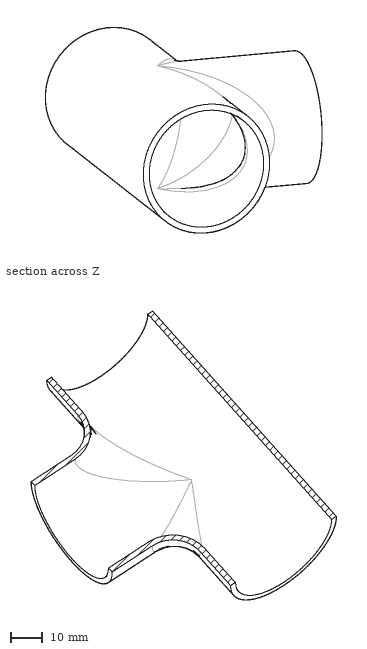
import cadquery as cq
import math

run_length = 96.0
branch_length = 48.0
outer_diameter = 42.4
bore_diameter = 38.4
outer_crotch_radius = 10.8

wall_thickness = (outer_diameter - bore_diameter) / 2
bore_crotch_radius = outer_crotch_radius + wall_thickness

section_count = 17
last_section_angle = math.radians(88)
join_tolerance = 0.001


def crotch_section(pipe_radius, crotch_radius, angle):
    """Horizontal slice of the blend wedge at an angle around the pipe surface.

    Every slice is the mid-height slice shrunk towards the Z axis, so the
    blend fades to nothing at the top and bottom of the pipes.
    """
    shrink = math.cos(angle)
    side = pipe_radius * shrink
    arc_radius = crotch_radius * shrink
    tangent = side + arc_radius
    arc_middle = tangent - arc_radius * math.sqrt(0.5)
    section = (
        cq.Workplane("XY", origin=(0, 0, pipe_radius * math.sin(angle)))
        .lineTo(side, tangent)
        .threePointArc((arc_middle, arc_middle), (tangent, side))
        .close()
    )
    return section.val()


def crotch_blend(pipe_radius, crotch_radius):
    """Wedge that fills the corner between run and branch on the +X side."""
    step = 2 * last_section_angle / (section_count - 1)
    sections = [
        crotch_section(pipe_radius, crotch_radius, i * step - last_section_angle)
        for i in range(section_count)
    ]
    return cq.Workplane(cq.Solid.makeLoft(sections))


def blended_tee(pipe_radius, crotch_radius):
    """Solid run and branch of one radius, with both corners blended."""
    run = cq.Workplane("YZ").circle(pipe_radius).extrude(run_length / 2, both=True)
    branch = cq.Workplane("XZ").circle(pipe_radius).extrude(-branch_length)
    right_blend = crotch_blend(pipe_radius, crotch_radius)
    left_blend = right_blend.mirror("YZ")
    tee = run.union(branch)
    for blend in (right_blend, left_blend):
        tee = tee.union(blend, tol=join_tolerance)
    return tee


body = blended_tee(outer_diameter / 2, outer_crotch_radius)
bore = blended_tee(bore_diameter / 2, bore_crotch_radius)
result = body.cut(bore)